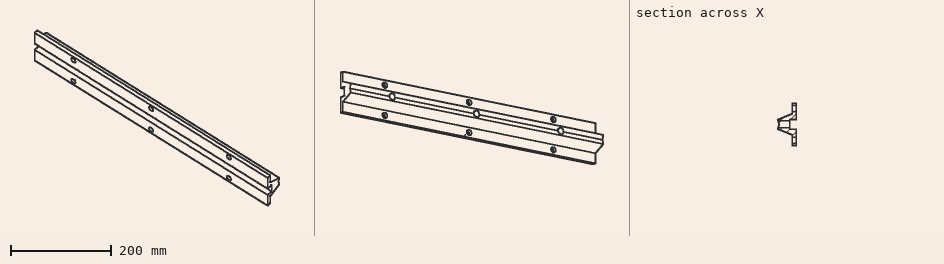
import cadquery as cq

length = 599.5
depth = 36.88
height = 84.0
flange_thickness = 8.5
slot_width = 19.0
slot_depth = 12.5
rail_root_width = 42.0
rail_tip_width = 19.0
valley_distance = 34.0
hole_pitch = 200.0
holes_per_row = 3
flange_hole_diameter = 11.0
flange_hole_offset = 31.5
rail_hole_diameter = 13.0


def make_profile_bar():
    """Extrude the Y-Z section, front face at Y = 0, centred on X and Z."""
    upper_half = [
        (slot_depth, slot_width / 2),
        (0, slot_width / 2),
        (0, height / 2),
        (flange_thickness, height / 2),
        (flange_thickness, rail_root_width / 2),
        (depth, rail_tip_width / 2),
    ]
    valley = (valley_distance, 0)
    lower_half = [(y, -z) for y, z in reversed(upper_half)]
    section = cq.Workplane("YZ").polyline(upper_half + [valley] + lower_half).close()
    return section.extrude(length / 2, both=True)


def make_hole_row(diameter, z):
    """Row of cylinders through the full depth, spread evenly about X = 0."""
    first_x = -hole_pitch * (holes_per_row - 1) / 2
    centres = [(first_x + i * hole_pitch, z) for i in range(holes_per_row)]
    return cq.Workplane("XZ").pushPoints(centres).circle(diameter / 2).extrude(-depth)


result = make_profile_bar()
result = result.cut(make_hole_row(rail_hole_diameter, 0))
for side in (1, -1):
    result = result.cut(make_hole_row(flange_hole_diameter, side * flange_hole_offset))